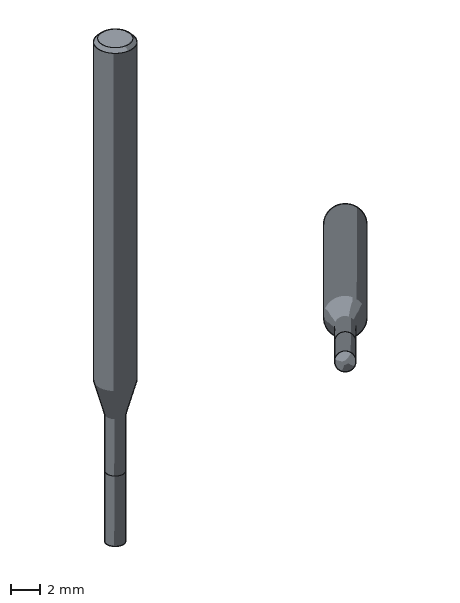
import cadquery as cq
import math

total_length = 41.0
shank_radius = 3.0 / 2
cutter_radius = 1.48 / 2
neck_radius = cutter_radius

cutter_top = 6.0
neck_top = 10.58
taper_top = 13.32

shank_chamfer = 0.3
point_angle = 140.0
point_height = cutter_radius / math.tan(math.radians(point_angle / 2))


def revolve_profile(points):
    """Revolve a closed (radius, height) outline about the Z axis."""
    return cq.Workplane("XZ").polyline(points).close().revolve(360, (0, 0), (0, 1))


def make_cutter():
    """Cylindrical cutting end with a conical point at the origin."""
    return revolve_profile([
        (0, 0),
        (cutter_radius, point_height),
        (cutter_radius, cutter_top),
        (0, cutter_top),
    ])


def make_shank():
    """Neck resting on the cutter, widening through a taper to the chamfered shank."""
    return revolve_profile([
        (0, cutter_top),
        (neck_radius, cutter_top),
        (neck_radius, neck_top),
        (shank_radius, taper_top),
        (shank_radius, total_length - shank_chamfer),
        (shank_radius - shank_chamfer, total_length),
        (0, total_length),
    ])


cutter = make_cutter()
shank = make_shank()
result = cq.Compound.makeCompound([cutter.val(), shank.val()])